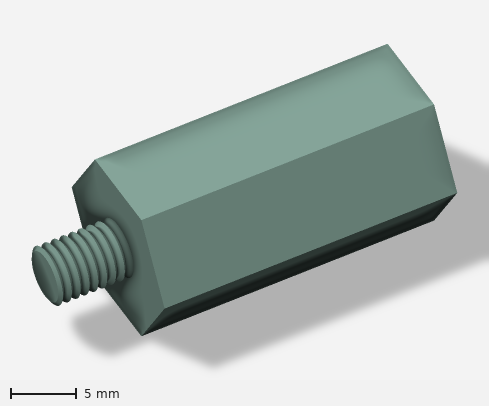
import cadquery as cq
import math

across_flats = 12.7
total_length = 31.75
stud_length = 6.35
body_length = total_length - stud_length
across_corners = across_flats / math.cos(math.pi / 6)

crest_radius = 2.45
root_radius = 1.97
tip_radius = 2.1
tip_chamfer_length = 0.22
groove_count = 8
pitch = (stud_length - tip_chamfer_length) / groove_count


def hex_body():
    """Hexagonal prism centred on the origin, with corners in the XY plane."""
    return (
        cq.Workplane("XZ", origin=(0, body_length / 2, 0))
        .polygon(6, across_corners)
        .extrude(body_length)
    )


def threaded_stud():
    """Ringed stud, revolved about Y, from its tip up to the hexagon face."""
    face_y = -body_length / 2
    tip_y = face_y - stud_length
    first_crest_y = tip_y + tip_chamfer_length

    profile = [(tip_y, 0), (tip_y, tip_radius)]
    for groove in range(groove_count):
        crest_y = first_crest_y + groove * pitch
        profile.append((crest_y, crest_radius))
        profile.append((crest_y + pitch / 2, root_radius))
    profile.append((face_y, crest_radius))
    profile.append((face_y, 0))
    return cq.Workplane("YZ").polyline(profile).close().revolve(360, (0, 0, 0), (1, 0, 0))


result = hex_body().union(threaded_stud())